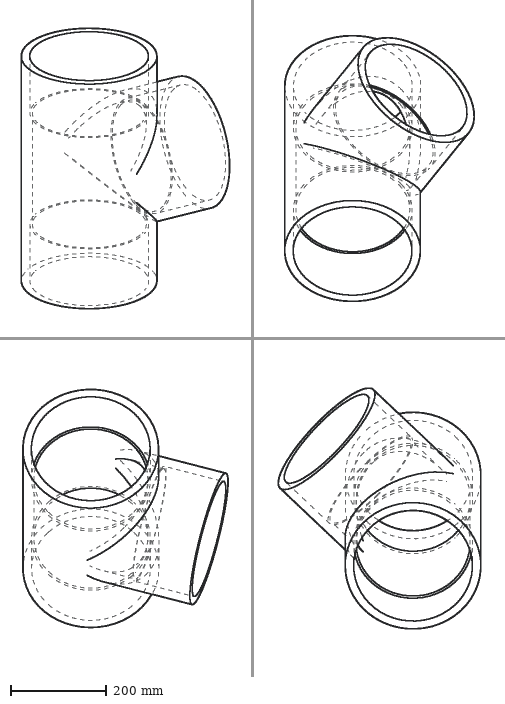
import cadquery as cq

outer_diameter = 286.0
socket_diameter = 250.0
bore_diameter = 240.0
run_length = 519.0
socket_depth = 131.0

end_distance = run_length / 2
shoulder_distance = end_distance - socket_depth

UP = cq.Vector(0, 0, 1)
DOWN = cq.Vector(0, 0, -1)
BRANCH = cq.Vector(0, 1, 0)
END_DIRECTIONS = (UP, DOWN, BRANCH)


def cylinder(diameter, start, end, direction):
    """Cylinder between two distances from the crossing, along a direction.

    Its seam line faces -Y on the run and +Z on the branch, clear of the points
    on the X axis where the run and the branch touch tangentially.
    """
    seam_side = UP if direction == BRANCH else -BRANCH
    plane = cq.Plane(origin=(direction * start).toTuple(), xDir=seam_side, normal=direction)
    return cq.Workplane(plane).circle(diameter / 2).extrude(end - start)


def tee(diameter):
    """Straight run along Z joined by a branch of the same diameter along +Y."""
    run = cylinder(diameter, -end_distance, end_distance, UP)
    branch = cylinder(diameter, 0, end_distance, BRANCH)
    return run.union(branch)


def cut_sockets(body):
    """Widen the bore at every open end, leaving a shoulder for the pipe to stop on."""
    for direction in END_DIRECTIONS:
        body = body.cut(cylinder(socket_diameter, shoulder_distance, end_distance, direction))
    return body


body = tee(outer_diameter).cut(tee(bore_diameter))
result = cut_sockets(body)